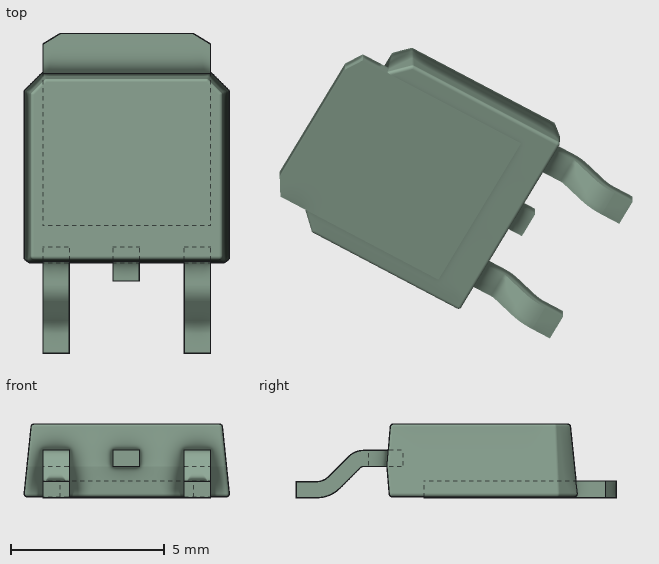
import cadquery as cq
import math

TOTAL_LENGTH = 10.4

HOUSING_WIDTH = 6.68
HOUSING_TOP = 2.4
STANDOFF = 0.03
HOUSING_FRONT = 2.94
HOUSING_BACK = 9.14
BACK_CORNER_CUT = 0.61
DRAFT = 5.9
FRONT_DRAFT = 4.8
EDGE_RADIUS = 0.1

LEAD_WIDTH = 0.86
LEAD_THICKNESS = 0.53
LEAD_TOP = 1.55
LEAD_BOTTOM = LEAD_TOP - LEAD_THICKNESS
FOOT_LENGTH = 0.67
FOOT_BEND_RADIUS = 0.53
SHOULDER_BEND_RADIUS = 0.18
BEND_ANGLE = math.radians(45)
LEAD_EMBED = 0.52
LEAD_END = HOUSING_FRONT + LEAD_EMBED

STUB_TIP = 2.35
STUB_X = -0.02

TAB_WIDTH = 5.45
TAB_THICKNESS = 0.55
TAB_FRONT = 4.16
TAB_CUT_X = 0.56
TAB_CUT_Y = 0.34

LEAD_X = (TAB_WIDTH - LEAD_WIDTH) / 2


def make_housing_blank():
    """Drafted block with cut back corners, a kinked front face and rounded edges."""
    height = HOUSING_TOP - STANDOFF
    corner_half_angle = math.radians((90 - DRAFT) / 2)
    rounding_loss = EDGE_RADIUS * (1 / math.tan(corner_half_angle) - 1)
    half = HOUSING_WIDTH / 2 + rounding_loss
    back = HOUSING_BACK + rounding_loss
    blank_front = HOUSING_FRONT - height
    outline = [
        (-half, blank_front),
        (half, blank_front),
        (half, back - BACK_CORNER_CUT),
        (half - BACK_CORNER_CUT, back),
        (-half + BACK_CORNER_CUT, back),
        (-half, back - BACK_CORNER_CUT),
    ]
    block = cq.Workplane("XY").workplane(offset=STANDOFF).polyline(outline).close()
    block = block.extrude(height, taper=DRAFT)

    slope = math.tan(math.radians(FRONT_DRAFT))
    front_profile = [
        (HOUSING_FRONT + (LEAD_BOTTOM - STANDOFF) * slope, STANDOFF),
        (HOUSING_FRONT, LEAD_BOTTOM),
        (HOUSING_FRONT + (HOUSING_TOP - LEAD_BOTTOM) * slope, HOUSING_TOP),
        (TOTAL_LENGTH, HOUSING_TOP),
        (TOTAL_LENGTH, STANDOFF),
    ]
    envelope = cq.Workplane("YZ").polyline(front_profile).close().extrude(HOUSING_WIDTH, both=True)
    block = block.intersect(envelope)
    parting_edge = cq.selectors.DirectionMinMaxSelector(cq.Vector(0, 1, 0), directionMax=False)
    sharp_edge = block.edges(parting_edge).val()
    rounded_edges = [edge for edge in block.edges().vals() if not edge.isSame(sharp_edge)]
    return block.newObject(rounded_edges).fillet(EDGE_RADIUS)


def make_lead(x):
    """Gull-wing lead: foot, upward bend, sloped run, bend back to level, embedded end."""
    sin_bend = math.sin(BEND_ANGLE)
    cos_bend = math.cos(BEND_ANGLE)
    foot_outer = FOOT_BEND_RADIUS + LEAD_THICKNESS
    shoulder_outer = SHOULDER_BEND_RADIUS + LEAD_THICKNESS
    foot_center = (FOOT_LENGTH, foot_outer)
    shoulder_z = LEAD_TOP - shoulder_outer
    rise = shoulder_z - foot_outer + (foot_outer + SHOULDER_BEND_RADIUS) * cos_bend
    shoulder_y = FOOT_LENGTH + (foot_outer + SHOULDER_BEND_RADIUS) * sin_bend + rise / math.tan(BEND_ANGLE)
    shoulder_center = (shoulder_y, shoulder_z)

    def foot_point(radius, angle):
        return (foot_center[0] + radius * math.sin(angle), foot_center[1] - radius * math.cos(angle))

    def shoulder_point(radius, angle):
        return (
            shoulder_center[0] - radius * math.sin(angle),
            shoulder_center[1] + radius * math.cos(angle),
        )

    half_bend = BEND_ANGLE / 2
    profile = (
        cq.Workplane("YZ", origin=(x, 0, 0))
        .moveTo(0, 0)
        .lineTo(*foot_point(foot_outer, 0))
        .threePointArc(foot_point(foot_outer, half_bend), foot_point(foot_outer, BEND_ANGLE))
        .lineTo(*shoulder_point(SHOULDER_BEND_RADIUS, BEND_ANGLE))
        .threePointArc(
            shoulder_point(SHOULDER_BEND_RADIUS, half_bend), shoulder_point(SHOULDER_BEND_RADIUS, 0)
        )
        .lineTo(LEAD_END, LEAD_BOTTOM)
        .lineTo(LEAD_END, LEAD_TOP)
        .lineTo(*shoulder_point(shoulder_outer, 0))
        .threePointArc(shoulder_point(shoulder_outer, half_bend), shoulder_point(shoulder_outer, BEND_ANGLE))
        .lineTo(*foot_point(FOOT_BEND_RADIUS, BEND_ANGLE))
        .threePointArc(foot_point(FOOT_BEND_RADIUS, half_bend), foot_point(FOOT_BEND_RADIUS, 0))
        .lineTo(0, LEAD_THICKNESS)
        .close()
    )
    return profile.extrude(LEAD_WIDTH / 2, both=True)


def make_stub():
    """Centre lead cropped short of the bends."""
    length = LEAD_END - STUB_TIP
    stub_block = cq.Workplane("XY").box(LEAD_WIDTH, length, LEAD_THICKNESS, centered=(True, False, False))
    return stub_block.translate((STUB_X, STUB_TIP, LEAD_BOTTOM))


def make_tab():
    """Flat heat tab under the housing, with cut corners at its exposed end."""
    half = TAB_WIDTH / 2
    outline = [
        (-half, TAB_FRONT),
        (half, TAB_FRONT),
        (half, TOTAL_LENGTH - TAB_CUT_Y),
        (half - TAB_CUT_X, TOTAL_LENGTH),
        (-half + TAB_CUT_X, TOTAL_LENGTH),
        (-half, TOTAL_LENGTH - TAB_CUT_Y),
    ]
    return cq.Workplane("XY").polyline(outline).close().extrude(TAB_THICKNESS)


leads = [make_lead(side * LEAD_X) for side in (-1, 1)]
stub = make_stub()
tab = make_tab()

housing = make_housing_blank()
for insert in [*leads, stub, tab]:
    housing = housing.cut(insert)

result = cq.Compound.makeCompound(
    [housing.val(), tab.val(), stub.val(), *[lead.val() for lead in leads]]
)